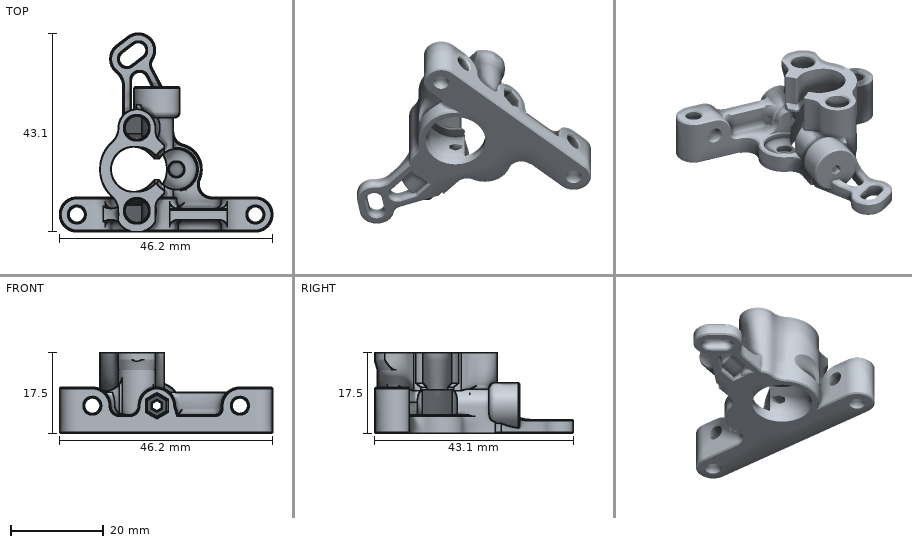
import cadquery as cq
import math

BAR_LENGTH = 46.2
BAR_DEPTH = 7.5
BAR_HEIGHT = 10.0
END_RADIUS = BAR_DEPTH / 2
END_X = BAR_LENGTH / 2 - END_RADIUS
SCREW_DIAMETER = 3.4
EDGE_CHAMFER = 0.3
TOLERANCE = 0.1

AXIS_Z = 6.0
SHOULDER_RADIUS = BAR_HEIGHT - AXIS_Z
CROSS_HOLE_X = 16.0
VALLEY_Z = 4.0
RIGHT_VALLEY_START_X = 2.6
RIGHT_VALLEY_CORNER = 1.5
LEFT_VALLEY_CORNER = AXIS_Z - VALLEY_Z
VALLEY_FILLET = 1.5

RIB_FRONT_Y = 2.65
RIB_REAR_Y = 5.05
RIB_TOP_Z = 8.9
RIB_CHAMFER = 0.4
GUSSET_FOOT = (-13.4, 9.2)
GUSSET_MIDDLE = (-11.1, 9.8)
GUSSET_TOP = (-9.4, 12.5)
GUSSET_FLARE = 0.6
GUSSET_WAIST_X = -12.0
GUSSET_WAIST_RADIUS = 3.0

CHANNEL_X = -2.0
CHANNEL_FLATS = 2.0
CHANNEL_MOUTH_FLATS = 2.35
NUT_FLATS = 4.1
NUT_MOUTH_FLATS = 4.85
NUT_DEPTH = 5.0
TUBE_RADIUS = 3.6
TUBE_BLEND = 2.8
TUBE_CORE_RADIUS = 3.3
HEAD_RADIUS = 5.0
HEAD_REAR_Y = 31.4
HEAD_FRONT_Y = 26.1
HEAD_TAPER = HEAD_RADIUS - TUBE_RADIUS
HEAD_ROUNDING = 1.33

TOWER_HEIGHT = 17.5
CENTER_Y = 13.55
DRUM_X = -6.35
DRUM_RADIUS = 8.0
POST_RADIUS = 4.0
POST_SPACING = 18.0
POST_BLEND = 4.1
LIP_BLEND = 3.0
LIP_BLEND_START = 8.4
POST_HOLE_DIAMETER = 5.1
POST_HOLE_CHAMFER = 0.3
POST_HOLE_FLOOR_Z = 2.0
POST_WALL_TOP_Z = 14.0
POST_WALL_OFFSET = 1.25
SKIRT_BLEND = 1.0
COLLAR_RADIUS = 4.66
COLLAR_BOTTOM_Z = 16.0
COLLAR_TAPER_Z = 13.75
CAVITY_DIAMETER = 13.0
CAVITY_TOP_Z = 9.5
BORE_X = -7.06
BORE_RADIUS = 4.86
LIP_TIP_OFFSET = 2.25
LIP_OUTER_X = -0.35
SHELF_Z = 10.0
SHELF_RISE = 0.9
GROOVE_DIAMETER = 6.1

SEAT_X = 2.24
SEAT_OUTER_RADIUS = 5.55
SEAT_RADIUS = 4.4
SEAT_FLOOR_Z = 2.5
SEAT_HOLE_DIAMETER = 3.2
SEAT_HOLE_FLOOR_Z = 1.0
SEAT_HOLE_CHAMFER = 0.2
SEAT_BLEND = 2.8

ARM_THICKNESS = 3.0
SLOT_FRONT = (-8.48, 37.47)
SLOT_REAR = (-6.03, 39.36)
ARM_END_RADIUS = 3.7
STRUT_LEFT_X = -9.36
STRUT_RIGHT_TOP = (-3.0, 35.4)
STRUT_RIGHT_FOOT = (1.2, 27.4)
WINDOW_SHOULDER_Y = 33.0
WINDOW_CROWN = (-5.85, 34.65)
WINDOW_RIGHT_TOP = (-4.2, 33.7)
WINDOW_RIGHT_FOOT = (-2.6, 30.5)
LEFT_STRUT_BLEND = 4.0
RIGHT_STRUT_BLEND = 2.0
STRUT_WIDTH = 1.85
RAMP_RADIUS = 6.0
LEFT_RAMP_START_Y = 29.6
RIGHT_RAMP_START_Y = 33.6
STRUT_FOOT_Y = 22.5
STRUT_HEIGHT = 6.65


def disc(center, radius, z0, z1):
    """Upright cylinder between two heights."""
    return cq.Workplane("XY").workplane(offset=z0).center(*center).circle(radius).extrude(z1 - z0)


def box(x0, x1, y0, y1, z0, z1):
    return cq.Workplane("XY").box(x1 - x0, y1 - y0, z1 - z0, centered=False).translate((x0, y0, z0))


def prism(points, z0, z1):
    return cq.Workplane("XY").workplane(offset=z0).polyline(points).close().extrude(z1 - z0)


def along_y(x, y0, y1):
    """Workplane facing +Y at y0, centred on the cross-hole height, with the length to y1."""
    plane = cq.Plane(origin=(x, y0, AXIS_Z), xDir=(-1, 0, 0), normal=(0, 1, 0))
    return cq.Workplane(plane), y1 - y0


def rod(x, radius, y0, y1):
    plane, length = along_y(x, y0, y1)
    return plane.circle(radius).extrude(length)


def hex_rod(x, flats, y0, y1):
    """Hexagonal bar along Y with a corner pointing up."""
    plane, length = along_y(x, y0, y1)
    corner_diameter = flats / math.cos(math.pi / 6)
    return plane.transformed(rotate=(0, 0, 90)).polygon(6, corner_diameter).extrude(length)


def hex_funnel(x, flats_outside, flats_inside, y0, y1):
    plane, length = along_y(x, y0, y1)
    to_corner = 1 / math.cos(math.pi / 6)
    return (
        plane.transformed(rotate=(0, 0, 90))
        .polygon(6, flats_outside * to_corner)
        .workplane(offset=length)
        .polygon(6, flats_inside * to_corner)
        .loft(combine=True)
    )


def chamfer_cone(center, radius, size, z_top):
    """Cutter that breaks the upper rim of a round hole."""
    return (
        cq.Workplane("XY")
        .workplane(offset=z_top - size)
        .center(*center)
        .circle(radius)
        .workplane(offset=size)
        .circle(radius + size)
        .loft(combine=True)
    )


def concave_blend(c1, r1, c2, r2, blend, side, z0, z1):
    """Web between two discs, hollowed by an arc tangent to both; side picks left (+1) or right (-1)."""
    span = math.dist(c1, c2)
    reach1 = r1 + blend
    reach2 = r2 + blend
    along = (span**2 + reach1**2 - reach2**2) / (2 * span)
    across = side * math.sqrt(reach1**2 - along**2)
    ux = (c2[0] - c1[0]) / span
    uy = (c2[1] - c1[1]) / span
    center = (c1[0] + along * ux - across * uy, c1[1] + along * uy + across * ux)
    return prism([c1, center, c2], z0, z1).cut(disc(center, blend, z0, z1))


def on_shoulder(center_x, z, side):
    """Point of a shoulder arc at height z."""
    return (center_x + side * math.sqrt(SHOULDER_RADIUS**2 - (z - AXIS_Z) ** 2), z)


POSTS = [(DRUM_X, CENTER_Y + side * POST_SPACING / 2) for side in (-1, 1)]
DRUM = (DRUM_X, CENTER_Y)
SEAT = (SEAT_X, CENTER_Y)


def right_valley(outline, top_z):
    """Continue an outline from the boss through the right valley to the end shoulder."""
    wall_x = CROSS_HOLE_X - SHOULDER_RADIUS
    mid_z = AXIS_Z + SHOULDER_RADIUS / 2
    return (
        outline.threePointArc(on_shoulder(CHANNEL_X, mid_z, 1), on_shoulder(CHANNEL_X, AXIS_Z, 1))
        .lineTo(RIGHT_VALLEY_START_X, VALLEY_Z)
        .lineTo(wall_x - RIGHT_VALLEY_CORNER, VALLEY_Z)
        .radiusArc((wall_x, VALLEY_Z + RIGHT_VALLEY_CORNER), -RIGHT_VALLEY_CORNER)
        .lineTo(wall_x, AXIS_Z)
        .threePointArc(on_shoulder(CROSS_HOLE_X, mid_z, -1), on_shoulder(CROSS_HOLE_X, top_z, -1))
    )


def left_valley(outline, top_z):
    """Continue an outline from the left end shoulder through the left valley to the boss."""
    left_x = SHOULDER_RADIUS - CROSS_HOLE_X
    right_x = CHANNEL_X - SHOULDER_RADIUS
    corner_z = VALLEY_Z + LEFT_VALLEY_CORNER
    mid_z = AXIS_Z + SHOULDER_RADIUS / 2
    return (
        outline.threePointArc(on_shoulder(-CROSS_HOLE_X, mid_z, 1), on_shoulder(-CROSS_HOLE_X, AXIS_Z, 1))
        .radiusArc((left_x + LEFT_VALLEY_CORNER, VALLEY_Z), -LEFT_VALLEY_CORNER)
        .lineTo(right_x - LEFT_VALLEY_CORNER, VALLEY_Z)
        .radiusArc((right_x, corner_z), -LEFT_VALLEY_CORNER)
        .threePointArc(on_shoulder(CHANNEL_X, mid_z, -1), on_shoulder(CHANNEL_X, top_z, -1))
    )


def rib(valley, start):
    """Wall across a valley with concave roots against the floor and shoulders."""

    def prism_along_y(y0, y1):
        outline = valley(cq.Workplane("XZ").moveTo(*start), RIB_TOP_Z)
        return outline.close().extrude(y0 - y1).translate((0, y0, 0))

    top_edge = cq.selectors.BoxSelector(
        (-BAR_LENGTH, -BAR_LENGTH, RIB_TOP_Z - TOLERANCE), (BAR_LENGTH, BAR_LENGTH, RIB_TOP_Z + TOLERANCE)
    )
    root_edges = cq.selectors.InverseSelector(top_edge)
    front = prism_along_y(0, RIB_FRONT_Y).faces(">Y").edges(root_edges).fillet(VALLEY_FILLET)
    rear = prism_along_y(RIB_REAR_Y, BAR_DEPTH).faces("<Y").edges(root_edges).fillet(VALLEY_FILLET)
    wall = prism_along_y(0, BAR_DEPTH).cut(front).cut(rear)
    bevel = (
        cq.Workplane("YZ")
        .moveTo(RIB_REAR_Y, RIB_TOP_Z - RIB_CHAMFER)
        .lineTo(RIB_REAR_Y - RIB_CHAMFER, RIB_TOP_Z)
        .lineTo(RIB_REAR_Y, RIB_TOP_Z)
        .close()
        .extrude(BAR_LENGTH / 2, both=True)
    )
    return wall.cut(bevel)


def bar():
    ends = cq.Workplane("XY").center(0, END_RADIUS).slot2D(BAR_LENGTH, BAR_DEPTH).extrude(BAR_HEIGHT)
    ends = ends.faces("<Z or >Z").edges().chamfer(EDGE_CHAMFER)
    half = BAR_LENGTH / 2
    outline = cq.Workplane("XZ").moveTo(-half, 0).lineTo(-half, BAR_HEIGHT).lineTo(-CROSS_HOLE_X, BAR_HEIGHT)
    outline = right_valley(left_valley(outline, BAR_HEIGHT), BAR_HEIGHT)
    outline = outline.lineTo(half, BAR_HEIGHT).lineTo(half, 0).close()
    body = outline.extrude(-BAR_DEPTH)
    rims = body.faces("<Y or >Y").edges("not <Z").edges("not(<X or >X)")
    body = rims.chamfer(EDGE_CHAMFER).intersect(ends)
    left_start = on_shoulder(-CROSS_HOLE_X, RIB_TOP_Z, 1)
    right_start = on_shoulder(CHANNEL_X, RIB_TOP_Z, 1)
    return body.union(rib(left_valley, left_start)).union(rib(right_valley, right_start))


def gusset():
    """Rib that sweeps up from the left shoulder to the front post, waisted in plan."""
    foot_x, foot_z = GUSSET_FOOT
    shoulder_x = foot_x - GUSSET_FLARE
    front_y = RIB_FRONT_Y - GUSSET_FLARE
    rear_y = RIB_REAR_Y + GUSSET_FLARE
    body = (
        cq.Workplane("XZ")
        .moveTo(shoulder_x, foot_z)
        .lineTo(foot_x, foot_z)
        .threePointArc(GUSSET_MIDDLE, GUSSET_TOP)
        .lineTo(DRUM_X, GUSSET_TOP[1])
        .lineTo(DRUM_X, VALLEY_Z)
        .lineTo(shoulder_x, VALLEY_Z)
        .close()
        .extrude(front_y - rear_y)
        .translate((0, front_y, 0))
    )
    for waist_y in (RIB_FRONT_Y - GUSSET_WAIST_RADIUS, RIB_REAR_Y + GUSSET_WAIST_RADIUS):
        waist = disc((GUSSET_WAIST_X, waist_y), GUSSET_WAIST_RADIUS, 0, TOWER_HEIGHT)
        body = body.cut(waist)
    return body


def seat_plate():
    plate = disc(SEAT, SEAT_OUTER_RADIUS, 0, VALLEY_Z)
    plate = plate.union(box(DRUM_X, SEAT_X, BAR_DEPTH / 2, CENTER_Y, 0, VALLEY_Z))
    corner_y = BAR_DEPTH + SEAT_BLEND
    reach = SEAT_OUTER_RADIUS + SEAT_BLEND
    corner_x = SEAT_X + math.sqrt(reach**2 - (CENTER_Y - corner_y) ** 2)
    web = prism([SEAT, (corner_x, corner_y), (corner_x, END_RADIUS), (SEAT_X, END_RADIUS)], 0, VALLEY_Z)
    plate = plate.union(web.cut(disc((corner_x, corner_y), SEAT_BLEND, 0, VALLEY_Z)))
    corner_x = CHANNEL_X + TUBE_RADIUS + SEAT_BLEND
    corner_y = CENTER_Y + math.sqrt(reach**2 - (corner_x - SEAT_X) ** 2)
    web = prism([SEAT, (corner_x, corner_y), (CHANNEL_X, corner_y), (CHANNEL_X, CENTER_Y)], 0, VALLEY_Z)
    plate = plate.union(web.cut(disc((corner_x, corner_y), SEAT_BLEND, 0, VALLEY_Z)))
    return plate.faces(">Z").edges("%CIRCLE").chamfer(EDGE_CHAMFER)


def tube():
    """Channel tube on its web, ending in a larger head with a rounded neck."""
    body = rod(CHANNEL_X, TUBE_RADIUS, 0, HEAD_FRONT_Y)
    half = TUBE_RADIUS
    body = body.union(box(CHANNEL_X - half, CHANNEL_X + half, END_RADIUS, HEAD_FRONT_Y, 0, AXIS_Z))
    head = rod(CHANNEL_X, HEAD_RADIUS, HEAD_FRONT_Y - HEAD_TAPER, HEAD_REAR_Y)
    head = head.faces("<Y").edges().fillet(HEAD_ROUNDING)
    return body.union(head.faces(">Y").edges().chamfer(EDGE_CHAMFER))


def tube_fillet():
    """Concave run-out from the side of the tube down to the floor in front of the seat."""
    center_z = VALLEY_Z + TUBE_BLEND
    reach = math.sqrt((TUBE_RADIUS + TUBE_BLEND) ** 2 - (center_z - AXIS_Z) ** 2)
    center_x = CHANNEL_X + reach
    run_out = box(CHANNEL_X, center_x, RIB_REAR_Y, CENTER_Y - SEAT_RADIUS, 0, center_z)
    hollow = rod(center_x, TUBE_BLEND, 0, CENTER_Y).translate((0, 0, center_z - AXIS_Z))
    return run_out.cut(hollow)


def lip(side):
    """Jaw that curves from the side of a post to the tip beside the gear seat."""
    start_x = DRUM_X + POST_RADIUS

    def on_blend(angle):
        x = start_x + LIP_BLEND * (1 - math.cos(angle))
        return x, LIP_BLEND_START - LIP_BLEND * math.sin(angle)

    end_x, end_y = on_blend(math.pi / 4)
    shape = (
        cq.Workplane("XY")
        .moveTo(DRUM_X, 0)
        .lineTo(DRUM_X, POST_SPACING / 2)
        .lineTo(start_x, POST_SPACING / 2)
        .lineTo(start_x, LIP_BLEND_START)
        .threePointArc(on_blend(math.pi / 8), (end_x, end_y))
        .lineTo(LIP_OUTER_X, end_y - (LIP_OUTER_X - end_x))
        .lineTo(LIP_OUTER_X, 0)
        .close()
        .extrude(TOWER_HEIGHT)
    )
    if side < 0:
        shape = shape.mirror("XZ")
    return shape.translate((0, CENTER_Y, 0))


def collar():
    """Widened top of the front post, cut flush with the bar and coned back below."""
    x, y = POSTS[0]
    cone = (
        cq.Workplane("XY")
        .workplane(offset=COLLAR_TAPER_Z)
        .center(x, y)
        .circle(POST_RADIUS)
        .workplane(offset=COLLAR_BOTTOM_Z - COLLAR_TAPER_Z)
        .circle(COLLAR_RADIUS)
        .loft(combine=True)
    )
    ring = cone.union(disc((x, y), COLLAR_RADIUS, COLLAR_BOTTOM_Z, TOWER_HEIGHT))
    return ring.intersect(box(x - POST_RADIUS, x + POST_RADIUS, 0, y, COLLAR_TAPER_Z, TOWER_HEIGHT))


def skirt(post):
    """Concave flare of a post onto the top of the tube."""
    x, y = post
    flare_radius = POST_RADIUS + SKIRT_BLEND
    foot_z = AXIS_Z + TUBE_RADIUS
    flare = (
        cq.Workplane("XZ")
        .moveTo(0, AXIS_Z)
        .lineTo(flare_radius, AXIS_Z)
        .lineTo(flare_radius, foot_z)
        .radiusArc((POST_RADIUS, foot_z + SKIRT_BLEND), SKIRT_BLEND)
        .lineTo(0, foot_z + SKIRT_BLEND)
        .close()
        .revolve(360, (0, 0, 0), (0, 1, 0))
        .translate((x, y, 0))
    )
    return flare.intersect(box(x, SEAT_X, RIB_FRONT_Y, HEAD_REAR_Y, AXIS_Z, TOWER_HEIGHT))


def towers():
    body = disc(DRUM, DRUM_RADIUS, 0, TOWER_HEIGHT)
    body = body.intersect(box(-BAR_LENGTH, CHANNEL_X - TUBE_RADIUS, 0, BAR_LENGTH, 0, TOWER_HEIGHT))
    for side, post in zip((-1, 1), POSTS):
        body = body.union(disc(post, POST_RADIUS, 0, TOWER_HEIGHT))
        body = body.union(
            concave_blend(DRUM, DRUM_RADIUS, post, POST_RADIUS, POST_BLEND, side, 0, TOWER_HEIGHT)
        )
    body = body.faces("<Z").edges("not |Y").chamfer(EDGE_CHAMFER)
    return body.union(lip(-1)).union(lip(1)).union(collar())


def ramp(x0, x1, start_y):
    """Strut block whose top curves up from the arm plate towards the tube."""
    block = box(x0, x1, STRUT_FOOT_Y, start_y, 0, STRUT_HEIGHT)
    hollow = (
        cq.Workplane("YZ")
        .workplane(offset=x0)
        .center(start_y, ARM_THICKNESS + RAMP_RADIUS)
        .circle(RAMP_RADIUS)
        .extrude(x1 - x0)
    )
    return block.cut(hollow)


def arm():
    """Slotted plate on two struts that rise towards the rear post and the tube."""
    (fx, fy), (rx, ry) = SLOT_FRONT, SLOT_REAR
    dx = rx - fx
    dy = ry - fy
    length = math.hypot(dx, dy)
    angle = math.degrees(math.atan2(dy, dx))

    def slot(diameter, height):
        outline = cq.Workplane("XY").center((fx + rx) / 2, (fy + ry) / 2)
        return outline.slot2D(length + diameter, diameter, angle).extrude(height)

    (top_x, top_y), (foot_x, foot_y) = STRUT_RIGHT_TOP, STRUT_RIGHT_FOOT
    inside_x = top_x + (foot_x - top_x) / (foot_y - top_y) * (ry - top_y)
    struts = prism(
        [
            (STRUT_LEFT_X, STRUT_FOOT_Y),
            (STRUT_LEFT_X, fy),
            SLOT_REAR,
            (inside_x, ry),
            STRUT_RIGHT_FOOT,
            (foot_x, STRUT_FOOT_Y),
        ],
        0,
        STRUT_HEIGHT,
    )
    window_x = STRUT_LEFT_X + STRUT_WIDTH
    window = (
        cq.Workplane("XY")
        .moveTo(window_x, STRUT_FOOT_Y)
        .lineTo(window_x, WINDOW_SHOULDER_Y)
        .threePointArc(WINDOW_CROWN, WINDOW_RIGHT_TOP)
        .lineTo(*WINDOW_RIGHT_FOOT)
        .lineTo(WINDOW_RIGHT_FOOT[0], STRUT_FOOT_Y)
        .close()
        .extrude(STRUT_HEIGHT)
    )
    left_end = SLOT_FRONT[0] - BAR_LENGTH / 2
    right_end = SLOT_FRONT[0] + BAR_LENGTH / 2
    envelope = box(left_end, right_end, STRUT_FOOT_Y, fy + ARM_END_RADIUS, 0, ARM_THICKNESS)
    envelope = envelope.union(ramp(left_end, WINDOW_CROWN[0], LEFT_RAMP_START_Y))
    envelope = envelope.union(ramp(WINDOW_CROWN[0], right_end, RIGHT_RAMP_START_Y))
    plate = slot(2 * ARM_END_RADIUS, ARM_THICKNESS).union(struts.intersect(envelope))
    left_corner = (STRUT_LEFT_X, fy - ARM_END_RADIUS, ARM_THICKNESS / 2)
    plate = plate.edges("|Z").edges(cq.NearestToPointSelector(left_corner)).fillet(LEFT_STRUT_BLEND)
    right_corner = (top_x, top_y + RIGHT_STRUT_BLEND, ARM_THICKNESS / 2)
    plate = plate.edges("|Z").edges(cq.NearestToPointSelector(right_corner)).fillet(RIGHT_STRUT_BLEND)
    plate = plate.cut(window).cut(slot(SCREW_DIAMETER, ARM_THICKNESS))
    top_face = cq.NearestToPointSelector((fx, fy - ARM_END_RADIUS / 2, ARM_THICKNESS))
    plate = plate.faces(top_face).edges("not |X").chamfer(EDGE_CHAMFER)
    return plate.faces("<Z").edges("not |X").chamfer(EDGE_CHAMFER)


def opening_outline(z, shift):
    """Round opening at height z with 45-degree jaws towards the gear seat; shift widens the jaws."""
    reach = BORE_RADIUS / math.sqrt(2)
    center_x = BORE_X + shift
    apex_x = BORE_X + BORE_RADIUS * math.sqrt(2)
    tip_x = apex_x - LIP_TIP_OFFSET
    half_gap = LIP_TIP_OFFSET + shift
    return (
        cq.Workplane("XY")
        .workplane(offset=z)
        .center(0, CENTER_Y)
        .moveTo(center_x + reach, reach)
        .threePointArc((center_x - BORE_RADIUS, 0), (center_x + reach, -reach))
        .lineTo(tip_x, -half_gap)
        .lineTo(SEAT_X, -half_gap)
        .lineTo(SEAT_X, half_gap)
        .lineTo(tip_x, half_gap)
        .close()
    )


def bore():
    """Opening with jaws that widen above a sloped shelf, and the cavity below."""
    shelf_top_z = SHELF_Z + SHELF_RISE
    opening = disc((BORE_X, CENTER_Y), BORE_RADIUS, 0, TOWER_HEIGHT)
    opening = opening.union(opening_outline(VALLEY_Z, 0).extrude(SHELF_Z - VALLEY_Z))
    opening = opening.union(opening_outline(shelf_top_z, SHELF_RISE).extrude(TOWER_HEIGHT - shelf_top_z))
    bottom_wire = opening_outline(SHELF_Z, 0).val()
    top_wire = opening_outline(shelf_top_z, SHELF_RISE).val()
    opening = opening.union(cq.Workplane(cq.Solid.makeLoft([bottom_wire, top_wire], True)))
    return opening.union(disc(DRUM, CAVITY_DIAMETER / 2, 0, CAVITY_TOP_Z))


def seat_pocket():
    """Round gear clearance that widens above the shelf, with a blind hole in its floor."""
    shelf_top_z = SHELF_Z + SHELF_RISE
    hole = SEAT_HOLE_DIAMETER / 2
    pocket = disc(SEAT, SEAT_RADIUS, SEAT_FLOOR_Z, TOWER_HEIGHT)
    pocket = pocket.union(chamfer_cone(SEAT, SEAT_RADIUS, EDGE_CHAMFER, VALLEY_Z))
    pocket = pocket.union(chamfer_cone(SEAT, SEAT_RADIUS, SHELF_RISE, shelf_top_z))
    pocket = pocket.union(disc(SEAT, SEAT_RADIUS + SHELF_RISE, shelf_top_z, TOWER_HEIGHT))
    pocket = pocket.union(disc(SEAT, hole, SEAT_HOLE_FLOOR_Z, SEAT_FLOOR_Z))
    return pocket.union(chamfer_cone(SEAT, hole, SEAT_HOLE_CHAMFER, SEAT_FLOOR_Z))


def post_hole(side, post):
    """Blind hole that leaves the tube core and a sloped wall in front of the cavity."""
    radius = POST_HOLE_DIAMETER / 2
    hole = disc(post, radius, POST_HOLE_FLOOR_Z, TOWER_HEIGHT)
    hole = hole.cut(rod(CHANNEL_X, TUBE_CORE_RADIUS, 0, HEAD_FRONT_Y))
    wall = (
        cq.Workplane("YZ")
        .moveTo(post[1] - side * POST_WALL_OFFSET, POST_HOLE_FLOOR_Z)
        .lineTo(post[1] - side * radius, POST_WALL_TOP_Z)
        .lineTo(post[1] - side * radius, POST_HOLE_FLOOR_Z)
        .close()
        .extrude(POST_RADIUS, both=True)
        .translate((post[0], 0, 0))
    )
    hole = hole.cut(wall)
    return hole.union(chamfer_cone(post, radius, POST_HOLE_CHAMFER, TOWER_HEIGHT))


def cross_hole(x):
    """Screw hole through the bar with a countersunk front rim."""
    radius = SCREW_DIAMETER / 2
    plane, length = along_y(x, 0, EDGE_CHAMFER)
    rim = plane.circle(radius + EDGE_CHAMFER).workplane(offset=length).circle(radius).loft(combine=True)
    return rod(x, radius, 0, BAR_DEPTH).union(rim)


def end_hole(x):
    center = (x, END_RADIUS)
    radius = SCREW_DIAMETER / 2
    rim = chamfer_cone(center, radius, EDGE_CHAMFER, BAR_HEIGHT)
    return disc(center, radius, 0, BAR_HEIGHT).union(rim)


def channel():
    """Hexagonal filament channel with a nut pocket at the front."""
    cutter = hex_rod(CHANNEL_X, CHANNEL_FLATS, 0, HEAD_REAR_Y)
    cutter = cutter.union(hex_rod(CHANNEL_X, NUT_FLATS, 0, NUT_DEPTH))
    mouth_end = NUT_DEPTH + EDGE_CHAMFER
    cutter = cutter.union(hex_funnel(CHANNEL_X, CHANNEL_MOUTH_FLATS, CHANNEL_FLATS, NUT_DEPTH, mouth_end))
    return cutter.union(hex_funnel(CHANNEL_X, NUT_MOUTH_FLATS, NUT_FLATS, 0, EDGE_CHAMFER))


def groove():
    """Screw-head clearance across the drum wall, in line with the left cross hole."""
    return rod(-CROSS_HOLE_X, GROOVE_DIAMETER / 2, BAR_DEPTH, CENTER_Y + DRUM_RADIUS)


body = bar().union(gusset()).union(seat_plate()).union(tube()).union(tube_fillet())
body = body.union(towers()).union(arm())
for post in POSTS:
    body = body.union(skirt(post))
body = body.cut(groove())
body = body.cut(bore()).cut(seat_pocket()).cut(channel())
for side, post in zip((-1, 1), POSTS):
    body = body.cut(post_hole(side, post))
    body = body.cut(end_hole(side * END_X)).cut(cross_hole(side * CROSS_HOLE_X))
result = body